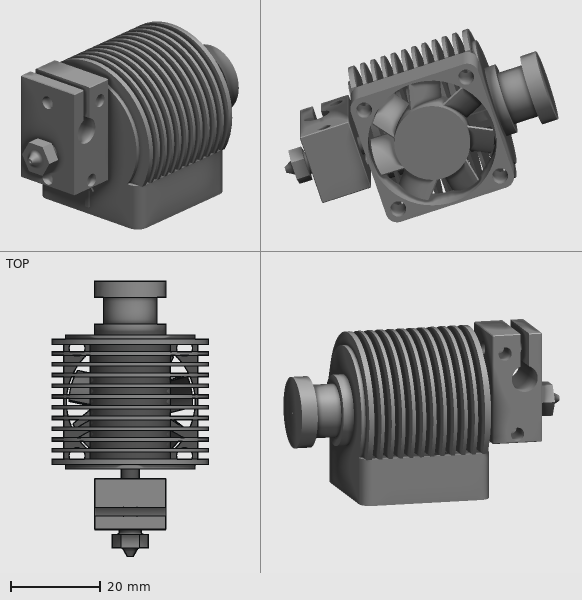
import cadquery as cq
import math


bore_diameter = 0.5

body_length = 30.0
fin_diameter = 35.0
core_diameter = 18.0
end_disc_diameter = 29.0
end_disc_length = 1.0
thin_fin_count = 10
thin_fin_length = 0.8
fin_gap = 1.6
fin_pitch = thin_fin_length + fin_gap
fin_stack_length = thin_fin_count * fin_pitch + fin_gap
end_fin_length = (body_length - fin_stack_length) / 2 - end_disc_length
flat_z = -8.5

mount_diameter = 16
groove_diameter = 12.0
mount_flange_length = 2.4
groove_length = 6.0
mount_head_length = 3.65

break_diameter = 4.1
break_length = 2.1
thread_diameter = 6.0

block_width = 16
block_depth = 11.5
block_bottom_z = -8
block_top_z = 16.8
block_height = block_top_z - block_bottom_z
block_back_y = -break_length
block_front_y = block_back_y - block_depth
block_mid_y = (block_back_y + block_front_y) / 2
block_chamfer = 0.2
small_hole_diameter = 3.0
heater_hole_diameter = 6.0
heater_y = -9.55
heater_z = 6.5
slot_width = 2.0
clamp_hole_z = 12.45
upper_cross_hole_y = -5.0
sensor_hole_z = -6.05

neck_diameter = 5.0
neck_length = 1.5
neck_fillet = 0.5
hex_flats = 7.0
hex_length = 3.0
hex_gap = 1.0
cone_foot_diameter = 4.75
cone_diameter = 3.1
cone_foot_length = 0.45
tip_diameter = 1.3
tip_length = 2.0
hex_back_y = block_front_y - hex_gap
hex_front_y = hex_back_y - hex_length

fan_size = 30.0
fan_depth = 10.6
fan_x = 0.1
fan_y = body_length / 2
fan_top_z = flat_z
fan_bottom_z = fan_top_z - fan_depth
fan_corner_radius = 2.6
fan_bore_diameter = 28.75
fan_hole_diameter = 3.5
fan_hole_spacing = 24
hub_diameter = 17.0
strut_count = 3
strut_width = 2.1
strut_thickness = 1.25
first_strut_angle = 90

blade_count = 7
blade_tip_diameter = 27.65
first_blade_angle = 13.7
blade_low_offset = -4.45
blade_high_offset = 2.45
blade_height = 6.8
blade_sag = 0.9
blade_shift_side = 0.3
blade_shift_down = 0.25

arrow_tip_z = -10.35
arrow_head_length = 2.8
arrow_length = 6.95
arrow_head_width = 3.45
arrow_shaft_width = 1.0
arrow_relief = 0.5


def rod(diameter, start_y, length):
    """Cylinder on the filament axis, from start_y towards +Y."""
    return cq.Workplane("XZ", origin=(0, start_y, 0)).circle(diameter / 2).extrude(-length)


def cross_hole(diameter, y, z):
    """Cutter through the whole block along X."""
    return cq.Workplane("YZ").center(y, z).circle(diameter / 2).extrude(block_width, both=True)


def upright_cylinder(diameter, bottom_z, height):
    """Cylinder on the fan axis, from bottom_z upwards."""
    return cq.Workplane("XY", origin=(fan_x, fan_y, bottom_z)).circle(diameter / 2).extrude(height)


def around_fan_axis(shape, angle):
    """Move a shape modelled along +X at the origin to an angle around the fan axis."""
    return shape.rotate((0, 0, 0), (0, 0, 1), angle).translate((fan_x, fan_y, 0))


def make_heatsink():
    """Finned core with groove mount and heat break, cut flat below for the fan."""
    sink = rod(core_diameter, 0, body_length)

    back_disc_y = body_length - end_disc_length
    for disc_y in (0, back_disc_y):
        sink = sink.union(rod(end_disc_diameter, disc_y, end_disc_length))
    for fin_y in (end_disc_length, back_disc_y - end_fin_length):
        sink = sink.union(rod(fin_diameter, fin_y, end_fin_length))

    first_fin_y = end_disc_length + end_fin_length + fin_gap
    for i in range(thin_fin_count):
        sink = sink.union(rod(fin_diameter, first_fin_y + i * fin_pitch, thin_fin_length))

    seat = cq.Workplane("XY", origin=(0, fan_y, flat_z)).rect(fin_diameter, 2 * body_length)
    sink = sink.cut(seat.extrude(-fin_diameter))

    groove_y = body_length + mount_flange_length
    head_y = groove_y + groove_length
    sink = sink.union(rod(mount_diameter, body_length, mount_flange_length))
    sink = sink.union(rod(groove_diameter, groove_y, groove_length))
    sink = sink.union(rod(mount_diameter, head_y, mount_head_length))

    sink = sink.union(rod(break_diameter, -break_length, break_length))
    sink = sink.union(rod(thread_diameter, block_mid_y, block_back_y - block_mid_y))

    full_length = head_y + mount_head_length - block_mid_y
    return sink.cut(rod(bore_diameter, block_mid_y, full_length))


def make_heater_block():
    """Block with a slotted heater bore, clamp screw hole and sensor holes."""
    block = (
        cq.Workplane("XY", origin=(0, block_mid_y, block_bottom_z))
        .rect(block_width, block_depth)
        .extrude(block_height)
        .edges()
        .chamfer(block_chamfer)
    )

    slot_height = block_top_z - heater_z
    slot = cq.Workplane("XY", origin=(0, heater_y, heater_z)).rect(block_width, slot_width)
    block = block.cut(cross_hole(heater_hole_diameter, heater_y, heater_z))
    block = block.cut(slot.extrude(slot_height))

    block = block.cut(cross_hole(small_hole_diameter, upper_cross_hole_y, clamp_hole_z))
    block = block.cut(cross_hole(small_hole_diameter, block_mid_y, sensor_hole_z))

    clamp_hole = rod(small_hole_diameter, block_front_y, block_depth)
    sensor_screw_hole = rod(small_hole_diameter, block_front_y, block_mid_y - block_front_y)
    block = block.cut(clamp_hole.translate((0, 0, clamp_hole_z)))
    block = block.cut(sensor_screw_hole.translate((0, 0, sensor_hole_z)))

    return block.cut(rod(thread_diameter, block_front_y, block_depth))


def make_nozzle():
    """Hexagon with a filleted cone in front, and a neck and threaded shank behind."""
    neck_radius = neck_diameter / 2
    tip_y = hex_front_y - tip_length
    thread_radius = thread_diameter / 2
    neck_end_y = hex_back_y + neck_length
    profile = (
        cq.Workplane("XY")
        .moveTo(0, tip_y)
        .lineTo(tip_diameter / 2, tip_y)
        .lineTo(cone_diameter / 2, hex_front_y - cone_foot_length)
        .tangentArcPoint((cone_foot_diameter / 2, hex_front_y), relative=False)
        .lineTo(neck_radius + neck_fillet, hex_back_y)
        .radiusArc((neck_radius, hex_back_y + neck_fillet), neck_fillet)
        .lineTo(neck_radius, neck_end_y)
        .lineTo(thread_radius, neck_end_y)
        .lineTo(thread_radius, block_mid_y)
        .lineTo(0, block_mid_y)
        .close()
    )
    nozzle = profile.revolve(360, (0, 0, 0), (0, 1, 0))

    hexagon_diameter = hex_flats / math.cos(math.pi / 6)
    hexagon = cq.Workplane("XZ", origin=(0, hex_back_y, 0)).polygon(6, hexagon_diameter)
    nozzle = nozzle.union(hexagon.extrude(hex_length))
    return nozzle.cut(rod(bore_diameter, tip_y, block_mid_y - tip_y))


def make_blade():
    """One curved blade along +X, cut round at its tip."""
    blade_top_z = fan_top_z - strut_thickness
    blade_low_z = blade_top_z - blade_height
    low = (blade_low_offset, blade_low_z)
    middle = (
        (blade_low_offset + blade_high_offset) / 2 + blade_sag,
        blade_low_z + blade_height / 2 - blade_sag,
    )
    high = (blade_high_offset, blade_top_z)

    def underside(point):
        return (point[0] + blade_shift_side, point[1] - blade_shift_down)

    blade = (
        cq.Workplane("YZ")
        .moveTo(*low)
        .threePointArc(middle, high)
        .lineTo(*underside(high))
        .threePointArc(underside(middle), underside(low))
        .close()
        .extrude(blade_tip_diameter)
    )
    tip_limit = cq.Workplane("XY", origin=(0, 0, fan_bottom_z)).circle(blade_tip_diameter / 2)
    return blade.intersect(tip_limit.extrude(fan_depth))


def make_arrow():
    """Raised arrow on the front of the fan, pointing up."""
    head_base_z = arrow_tip_z - arrow_head_length
    half_head = arrow_head_width / 2
    half_shaft = arrow_shaft_width / 2
    right_side = [
        (half_head, head_base_z),
        (half_shaft, head_base_z),
        (half_shaft, arrow_tip_z - arrow_length),
    ]
    left_side = [(-x, z) for x, z in reversed(right_side)]
    outline = [(0, arrow_tip_z)] + right_side + left_side
    return cq.Workplane("XZ", origin=(fan_x, 0, 0)).polyline(outline).close().extrude(arrow_relief)


def make_fan():
    """Square frame with a hub held by three struts, and the blades on the hub."""
    fan = (
        cq.Workplane("XY", origin=(fan_x, fan_y, fan_bottom_z))
        .rect(fan_size, fan_size)
        .extrude(fan_depth)
        .edges("|Z")
        .fillet(fan_corner_radius)
        .faces(">Z")
        .workplane(origin=(fan_x, fan_y, fan_top_z))
        .rect(fan_hole_spacing, fan_hole_spacing, forConstruction=True)
        .vertices()
        .hole(fan_hole_diameter)
    )
    fan = fan.cut(upright_cylinder(fan_bore_diameter, fan_bottom_z, fan_depth))
    fan = fan.union(upright_cylinder(hub_diameter, fan_bottom_z, fan_depth))

    strut_length = fan_size / 2
    strut = (
        cq.Workplane("XY", origin=(strut_length / 2, 0, fan_top_z))
        .rect(strut_length, strut_width)
        .extrude(-strut_thickness)
    )
    for i in range(strut_count):
        fan = fan.union(around_fan_axis(strut, first_strut_angle + i * 360 / strut_count))

    blade = make_blade()
    for i in range(blade_count):
        fan = fan.union(around_fan_axis(blade, first_blade_angle + i * 360 / blade_count))

    return fan.union(make_arrow())


heatsink = make_heatsink()
heater_block = make_heater_block()
nozzle = make_nozzle()
fan = make_fan()

result = cq.Compound.makeCompound([heatsink.val(), heater_block.val(), nozzle.val(), fan.val()])